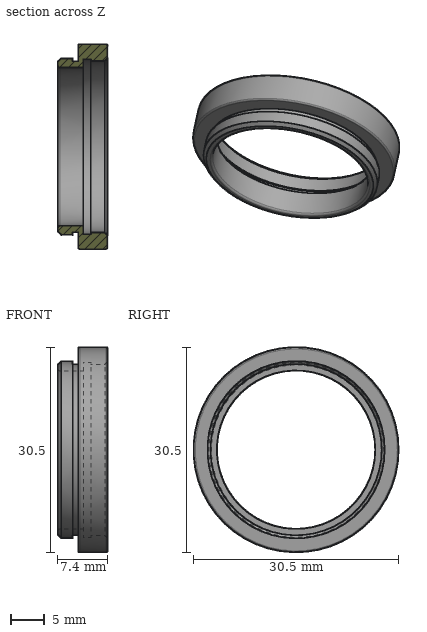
import cadquery as cq

length = 7.4
flange_radius = 15.25
flange_width = 4.4
edge_fillet = 0.25

spigot_radius = 13.15
spigot_chamfer = 0.52
neck_radius = 12.72
neck_width = 0.8

front_bore_radius = 11.75
front_bore_length = 3.8
front_bore_fillet = 0.35
rear_bore_radius = 12.72
rear_bore_chamfer = 0.45
groove_radius = 13.0
groove_width = 1.1

flange_front = length - flange_width
neck_front = flange_front - neck_width


def disc(start, end, radius):
    """Solid cylinder along X from start to end."""
    return cq.Workplane("YZ", origin=(start, 0, 0)).circle(radius).extrude(end - start)


def outer_body():
    """Chamfered spigot, neck and rounded flange, all solid."""
    spigot = disc(0, neck_front, spigot_radius).faces("<X").chamfer(spigot_chamfer)
    neck = disc(neck_front, flange_front, neck_radius)
    flange = disc(flange_front, length, flange_radius).edges().fillet(edge_fillet)
    return spigot.union(neck).union(flange)


def stepped_bore():
    """Half section of the bore, revolved about the X axis."""
    rear_bore_front = front_bore_length + groove_width
    profile = (
        cq.Workplane("XY")
        .lineTo(0, front_bore_radius + front_bore_fillet)
        .radiusArc((front_bore_fillet, front_bore_radius), -front_bore_fillet)
        .lineTo(front_bore_length, front_bore_radius)
        .lineTo(front_bore_length, groove_radius)
        .lineTo(rear_bore_front, groove_radius)
        .lineTo(rear_bore_front, rear_bore_radius)
        .lineTo(length - rear_bore_chamfer, rear_bore_radius)
        .lineTo(length, rear_bore_radius + rear_bore_chamfer)
        .lineTo(length, 0)
        .close()
    )
    return profile.revolve(360, (0, 0, 0), (1, 0, 0))


result = outer_body().cut(stepped_bore())